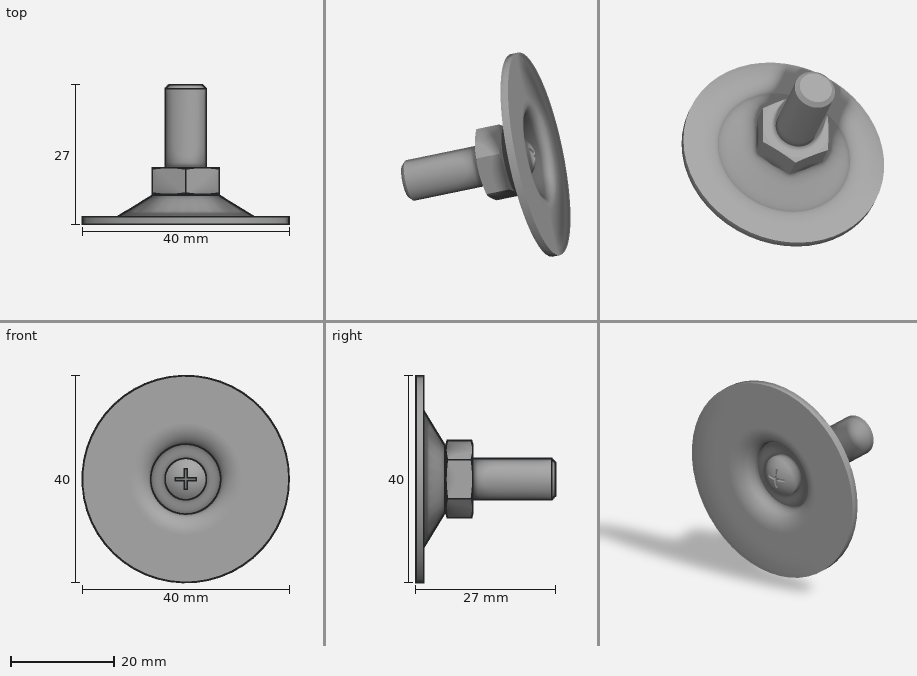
import cadquery as cq
import math

total_length = 27.0
stud_length = 16.0
stud_radius = 4.0
stud_chamfer = 0.8

plate_radius = 20.0
plate_thickness = 1.5
cone_base_radius = 13.15
cone_top = 5.6

nut_across_flats = 13.0
nut_top = total_length - stud_length
washer_face_height = 0.2
washer_face_radius = nut_across_flats / 2
nut_bottom = cone_top + washer_face_height
nut_corner_radius = nut_across_flats / 2 / math.cos(math.pi / 6)
nut_chamfer_depth = 0.3

recess_depth = 3.95
recess_floor_radius = 6.75
recess_mouth_radius = recess_floor_radius + recess_depth

head_radius = 4.0
head_rim_height = 1.0
dome_height = 2.1
cross_length = 4.0
cross_width = 0.6
cross_depth = 1.2

dome_radius = (head_radius**2 + dome_height**2) / (2 * dome_height)
rim_y = recess_depth - head_rim_height
dome_tip_y = rim_y - dome_height


def revolve_about_y(profile):
    """Turn a closed XY profile fully about the Y axis."""
    return profile.close().revolve(360, (0, 0, 0), (0, 1, 0))


def make_foot():
    """Round plate and cone, with the rounded recess around the screw head."""
    corner = math.sqrt(0.5)
    recess_arc_middle = (recess_mouth_radius - recess_depth * corner, recess_depth * (1 - corner))
    dome_half_angle = math.asin(head_radius / dome_radius) / 2
    dome_arc_middle = (
        dome_radius * math.sin(dome_half_angle),
        dome_tip_y + dome_radius * (1 - math.cos(dome_half_angle)),
    )
    profile = (
        cq.Workplane("XY")
        .moveTo(0, dome_tip_y)
        .threePointArc(dome_arc_middle, (head_radius, rim_y))
        .lineTo(head_radius, recess_depth)
        .lineTo(recess_floor_radius, recess_depth)
        .threePointArc(recess_arc_middle, (recess_mouth_radius, 0))
        .lineTo(plate_radius, 0)
        .lineTo(plate_radius, plate_thickness)
        .lineTo(cone_base_radius, plate_thickness)
        .lineTo(washer_face_radius, cone_top)
        .lineTo(0, cone_top)
    )
    return revolve_about_y(profile)


def make_nut():
    """Hexagon nut with flats facing X and corners chamfered at both ends."""
    hexagon = (
        cq.Workplane("XZ", origin=(0, nut_bottom, 0))
        .polygon(6, 2 * nut_corner_radius)
        .extrude(nut_bottom - nut_top)
        .rotate((0, 0, 0), (0, 1, 0), 90)
    )
    chamfer_envelope = revolve_about_y(
        cq.Workplane("XY")
        .moveTo(0, nut_bottom)
        .lineTo(washer_face_radius, nut_bottom)
        .lineTo(nut_corner_radius, nut_bottom + nut_chamfer_depth)
        .lineTo(nut_corner_radius, nut_top - nut_chamfer_depth)
        .lineTo(washer_face_radius, nut_top)
        .lineTo(0, nut_top)
    )
    return hexagon.intersect(chamfer_envelope)


def make_stud():
    """Washer face under the nut and the stud with its chamfered end."""
    profile = (
        cq.Workplane("XY")
        .moveTo(0, cone_top)
        .lineTo(washer_face_radius, cone_top)
        .lineTo(washer_face_radius, nut_bottom)
        .lineTo(stud_radius, nut_bottom)
        .lineTo(stud_radius, total_length - stud_chamfer)
        .lineTo(stud_radius - stud_chamfer, total_length)
        .lineTo(0, total_length)
    )
    return revolve_about_y(profile)


def make_cross_slot():
    """Two crossed bars cut into the tip of the dome."""
    bar = cq.Workplane("XY").box(cross_length, 2 * cross_depth, cross_width)
    cross = bar.union(bar.rotate((0, 0, 0), (0, 1, 0), 90))
    return cross.translate((0, dome_tip_y, 0))


result = make_foot().union(make_nut()).union(make_stud()).cut(make_cross_slot())